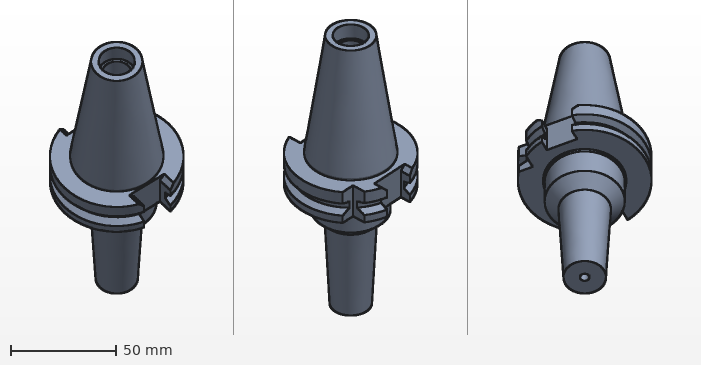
import cadquery as cq

total_height = 158.4
gauge_z = 90.0
flange_top_z = 89.0
flange_bottom_z = 70.8
neck_bottom_z = 55.8
nose_top_z = 49.5

gauge_radius = 22.2
taper_top_radius = gauge_radius - (total_height - gauge_z) * 7 / 24 / 2

flange_radius = 31.76
groove_radius = 28.0
groove_upper_edge_z = 82.2
groove_upper_floor_z = 80.8
groove_lower_floor_z = 77.1
groove_lower_edge_z = 75.1

neck_radius = 19.0
neck_flare = 0.8
nose_top_radius = 12.5
nose_tip_radius = 10.1

slot_width = 15.8
left_slot_floor = 25.0
right_slot_floor = 22.8
slot_chamfer = 2.7

notch_offset = 18.5

counterbore_radius = 8.5
counterbore_depth = 8.2
thread_bore_radius = 7.0
thread_bore_depth = 31.7
channel_radius = 2.7
tool_bore_radius = 2.2
tool_bore_length = 36.0


def make_body():
    """Revolve the taper, grooved flange, neck and nose."""
    profile = [
        (0, 0),
        (nose_tip_radius, 0),
        (nose_top_radius, nose_top_z),
        (neck_radius, neck_bottom_z),
        (neck_radius, flange_bottom_z - neck_flare),
        (neck_radius + neck_flare, flange_bottom_z),
        (flange_radius, flange_bottom_z),
        (flange_radius, groove_lower_edge_z),
        (groove_radius, groove_lower_floor_z),
        (groove_radius, groove_upper_floor_z),
        (flange_radius, groove_upper_edge_z),
        (flange_radius, flange_top_z),
        (gauge_radius, flange_top_z),
        (gauge_radius, gauge_z),
        (taper_top_radius, total_height),
        (0, total_height),
    ]
    return cq.Workplane("XZ").polyline(profile).close().revolve(360, (0, 0), (0, 1))


def make_drive_slot(side, floor):
    """Cutter for one drive slot with chamfered top edges; side is -1 or 1 along X."""
    half_width = slot_width / 2
    section = [
        (-half_width, flange_bottom_z),
        (half_width, flange_bottom_z),
        (half_width, flange_top_z - slot_chamfer),
        (half_width + slot_chamfer, flange_top_z),
        (-half_width - slot_chamfer, flange_top_z),
        (-half_width, flange_top_z - slot_chamfer),
    ]
    plane = cq.Workplane("YZ", origin=(side * floor, 0, 0))
    return plane.polyline(section).close().extrude(side * flange_radius)


def make_notch():
    """Cutter for the square notch at the -X, +Y corner of the flange."""
    return (
        cq.Workplane("XY", origin=(-notch_offset, notch_offset, flange_bottom_z))
        .rect(-flange_radius, flange_radius, centered=False)
        .extrude(flange_top_z - flange_bottom_z)
    )


def make_bore(radius, depth):
    """Cylinder sunk into the top of the shank."""
    top = cq.Workplane("XY", origin=(0, 0, total_height))
    return top.circle(radius).extrude(-depth)


result = (
    make_body()
    .cut(make_drive_slot(-1, left_slot_floor))
    .cut(make_drive_slot(1, right_slot_floor))
    .cut(make_notch())
    .cut(make_bore(counterbore_radius, counterbore_depth))
    .cut(make_bore(thread_bore_radius, thread_bore_depth))
    .cut(make_bore(channel_radius, total_height - tool_bore_length))
    .cut(make_bore(tool_bore_radius, total_height))
)